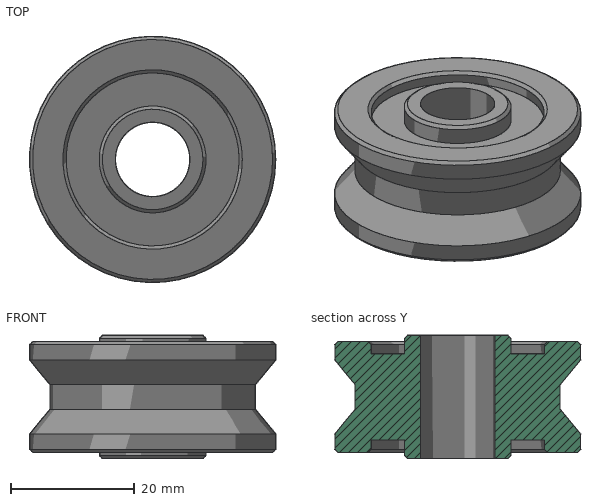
import cadquery as cq

bore_diameter = 12.0
hub_diameter = 17.3
recess_diameter = 28.0
groove_floor_diameter = 33.3
rim_diameter = 39.9

hub_height = 20.0
rim_height = 18.0
groove_mouth_width = 11.97
groove_floor_width = 4.0
recess_depth = 2.0
edge_chamfer = 0.5

bore_radius = bore_diameter / 2
hub_radius = hub_diameter / 2
recess_radius = recess_diameter / 2
groove_floor_radius = groove_floor_diameter / 2
rim_radius = rim_diameter / 2

hub_top = hub_height / 2
rim_top = rim_height / 2
recess_floor = rim_top - recess_depth

upper_points = [
    (bore_radius, hub_top),
    (hub_radius - edge_chamfer, hub_top),
    (hub_radius, hub_top - edge_chamfer),
    (hub_radius, recess_floor),
    (recess_radius, recess_floor),
    (recess_radius, rim_top - edge_chamfer),
    (recess_radius + edge_chamfer, rim_top),
    (rim_radius - edge_chamfer, rim_top),
    (rim_radius, rim_top - edge_chamfer),
    (rim_radius, groove_mouth_width / 2),
    (groove_floor_radius, groove_floor_width / 2),
]

lower_points = [(radius, -height) for radius, height in reversed(upper_points)]

result = (
    cq.Workplane("XZ")
    .polyline(upper_points + lower_points)
    .close()
    .revolve(360, (0, 0, 0), (0, 1, 0))
)